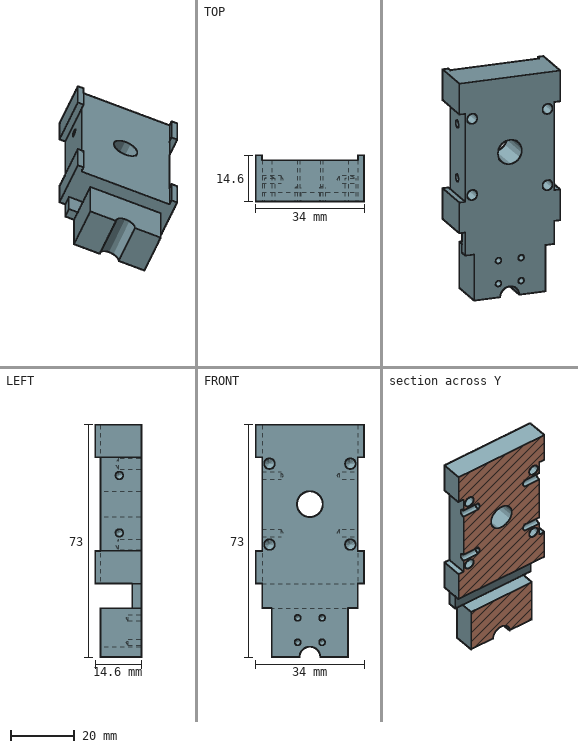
import cadquery as cq
import math

total_height = 73.0
total_width = 34.0
total_depth = 14.6

body_depth = 13.0
ear_thickness = 2.0
ear_height = 10.3
body_width = total_width - 2 * ear_thickness

foot_width = 24.1
foot_height = 15.4
web_height = 7.7
web_depth = 3.0
body_bottom = foot_height + web_height

bore_diameter = 8.0
bore_z = (total_height + body_bottom) / 2

mount_diameter = 3.35
mount_depth = 7.3
mount_spacing = 25.4

side_diameter = 2.4
side_depth = 5.85
side_spacing = 18.0
side_y = 7.0

foot_hole_diameter = 1.9
foot_hole_depth = 4.4
foot_hole_spacing = 7.7
foot_hole_z = 8.5

notch_radius = 3.2

drill_tip_angle = 118.0


def block(width, depth, bottom, height, x=0.0):
    """Box standing on Z = bottom with its front face on Y = 0."""
    centre = (x, depth / 2, bottom + height / 2)
    return cq.Workplane("XY").box(width, depth, height).translate(centre)


def drilled_hole(start, direction, diameter, depth):
    """Blind hole of the given full-diameter depth, ending in a conical drill tip."""
    radius = diameter / 2
    tip_length = radius / math.tan(math.radians(drill_tip_angle / 2))
    origin = cq.Vector(*start)
    axis = cq.Vector(*direction)
    shank = cq.Solid.makeCylinder(radius, depth, origin, axis)
    tip = cq.Solid.makeCone(radius, 0, tip_length, origin + axis * depth, axis)
    return shank.fuse(tip)


def through_cylinder(radius, z):
    """Cylinder along Y, passing through the whole depth at X = 0."""
    return cq.Solid.makeCylinder(radius, total_depth, cq.Vector(0, 0, z), cq.Vector(0, 1, 0))


def cut_front_pattern(part, centre_z, spacing, diameter, depth):
    """Cut a square of four blind holes into the front face."""
    for x in (-spacing / 2, spacing / 2):
        for z in (centre_z - spacing / 2, centre_z + spacing / 2):
            part = part.cut(drilled_hole((x, 0, z), (0, 1, 0), diameter, depth))
    return part


def cut_side_holes(part):
    """Cut two blind holes into each side of the body, between the ears."""
    for side in (-1, 1):
        for z in (bore_z - side_spacing / 2, bore_z + side_spacing / 2):
            start = (side * body_width / 2, side_y, z)
            part = part.cut(drilled_hole(start, (-side, 0, 0), side_diameter, side_depth))
    return part


result = block(foot_width, body_depth, 0, foot_height)
result = result.union(block(body_width, web_depth, foot_height, web_height))
result = result.union(block(body_width, body_depth, body_bottom, total_height - body_bottom))

for side in (-1, 1):
    ear_x = side * (total_width - ear_thickness) / 2
    for ear_bottom in (body_bottom, total_height - ear_height):
        result = result.union(block(ear_thickness, total_depth, ear_bottom, ear_height, ear_x))

result = result.cut(through_cylinder(bore_diameter / 2, bore_z))
result = result.cut(through_cylinder(notch_radius, 0))

result = cut_front_pattern(result, bore_z, mount_spacing, mount_diameter, mount_depth)
result = cut_front_pattern(result, foot_hole_z, foot_hole_spacing, foot_hole_diameter, foot_hole_depth)
result = cut_side_holes(result)